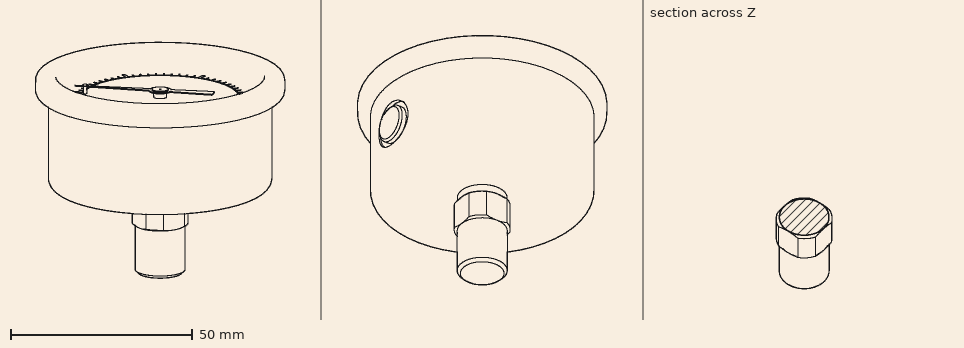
import cadquery as cq
import math

SOCKET_CHAMFER = 0.9
NUT_BOTTOM = 13.8
NUT_TOP = 22.45
CASE_BOTTOM = 24.7
BEZEL_BOTTOM = 50.8
TOTAL_HEIGHT = 56.65

CASE_DIAMETER = 61.8
CASE_ROUND = 2.55
BEZEL_DIAMETER = 68.9
BEZEL_ROUND = 1.65
WINDOW_DIAMETER = 57.7
WINDOW_EDGE_ROUND = 0.4
DIAL_DEPTH = 6.35
DIAL_ROUND = 1.45

SOCKET_DIAMETER = 13.85
NECK_DIAMETER = 13.7
FLAT_WIDTH = 6.9
NUT_CHAMFER_ANGLE = 30.0

PLUG_DIAMETER = 10.7
PLUG_CHAMFER = 0.6
PLUG_REACH = 31.6
PLUG_HEIGHT = 37.5
PLUG_SEAT_DIAMETER = 13.7
PLUG_SEAT_FLOOR = 29.6

MARK_THICKNESS = 0.1
SCALE_INNER_RADIUS = 21.65
SCALE_OUTER_RADIUS = 22.0
MINOR_TICK_END_RADIUS = 23.35
MAJOR_TICK_END_RADIUS = 24.5
MINOR_TICK_WIDTH = 0.3
MAJOR_TICK_WIDTH = 0.9
SCALE_START_ANGLE = 225.0
SCALE_SWEEP = 270.0
MAJOR_DIVISIONS = 5
MINOR_PER_MAJOR = 10

POINTER_ANGLE = SCALE_START_ANGLE
POINTER_LENGTH = 24.05
POINTER_TAIL = 15.0
NEEDLE_ROOT_WIDTH = 1.9
TAIL_ROOT_WIDTH = 1.8
TAIL_END_WIDTH = 2.9
TAIL_CORNER_ROUND = 0.35
POINTER_THICKNESS = 0.3
POINTER_LIFT = 1.7
HUB_DIAMETER = 6.1
CAP_DIAMETER = 4.5
CAP_THICKNESS = 0.3
BOSS_DIAMETER = 3.6
CENTRE_MARK_DIAMETER = 0.4
CENTRE_MARK_DEPTH = 0.1
PIN_DIAMETER = 1.0
PIN_HEAD_DIAMETER = 1.8
PIN_HEAD_RISE = 0.4
PIN_SHANK_HEIGHT = 2.2
PIN_RADIUS_FROM_CENTRE = 21.0
PIN_ANGLE = 226.6

dial_height = TOTAL_HEIGHT - DIAL_DEPTH


def cylinder(diameter, bottom, top):
    return cq.Workplane("XY").workplane(offset=bottom).circle(diameter / 2).extrude(top - bottom)


def make_case():
    """Body with a rounded lower edge, under a bezel rounded on both outer edges."""
    body = cylinder(CASE_DIAMETER, CASE_BOTTOM, BEZEL_BOTTOM).faces("<Z").edges().fillet(CASE_ROUND)
    bezel = cylinder(BEZEL_DIAMETER, BEZEL_BOTTOM, TOTAL_HEIGHT).edges().fillet(BEZEL_ROUND)
    return body.union(bezel)


def cut_dial_recess(case):
    """Round opening down to the dial, with a rounded floor edge and an eased rim."""
    recess = cylinder(WINDOW_DIAMETER, dial_height, TOTAL_HEIGHT).faces("<Z").edges().fillet(DIAL_ROUND)
    opened = case.cut(recess)
    return opened.faces(">Z").edges(cq.selectors.RadiusNthSelector(0)).fillet(WINDOW_EDGE_ROUND)


def make_socket():
    """Threaded end, wrench square with turned corners and plain neck."""
    shank = cylinder(SOCKET_DIAMETER, 0, NUT_BOTTOM).faces("<Z").chamfer(SOCKET_CHAMFER)
    neck = cylinder(NECK_DIAMETER, NUT_TOP, CASE_BOTTOM)

    socket_radius = SOCKET_DIAMETER / 2
    corner_radius = math.hypot(socket_radius, FLAT_WIDTH / 2)
    chamfer_width = corner_radius - socket_radius
    chamfer_height = chamfer_width * math.tan(math.radians(NUT_CHAMFER_ANGLE))
    square = (
        cq.Workplane("XY").workplane(offset=NUT_BOTTOM)
        .rect(SOCKET_DIAMETER, SOCKET_DIAMETER).extrude(NUT_TOP - NUT_BOTTOM)
    )
    turned = (
        cylinder(2 * corner_radius, NUT_BOTTOM, NUT_TOP)
        .faces("<Z or >Z").chamfer(chamfer_height, chamfer_width)
    )
    return shank.union(square.intersect(turned)).union(neck)


def back_cylinder(diameter, start, end):
    """Cylinder along +Y on the plug axis."""
    return (
        cq.Workplane("XZ", origin=(0, end, PLUG_HEIGHT))
        .circle(diameter / 2).extrude(end - start)
    )


def make_plug():
    """Chamfered round plug standing out of its seat toward +Y."""
    return back_cylinder(PLUG_DIAMETER, PLUG_SEAT_FLOOR, PLUG_REACH).faces(">Y").chamfer(PLUG_CHAMFER)


def make_plug_seat():
    """Round flat-bottomed seat sunk into the back of the case."""
    return back_cylinder(PLUG_SEAT_DIAMETER, PLUG_SEAT_FLOOR, PLUG_REACH)


def make_tick(angle, width, end_radius):
    """Flat radial mark that starts at the inner edge of the scale arc."""
    length = end_radius - SCALE_INNER_RADIUS
    return (
        cq.Workplane("XY").workplane(offset=dial_height)
        .center(SCALE_INNER_RADIUS + length / 2, 0)
        .rect(length, width).extrude(MARK_THICKNESS)
        .rotate((0, 0, 0), (0, 0, 1), angle)
    )


def make_scale():
    """Raised scale arc with its major and minor ticks."""
    ring = (
        cq.Workplane("XY").workplane(offset=dial_height)
        .circle(SCALE_OUTER_RADIUS).circle(SCALE_INNER_RADIUS).extrude(MARK_THICKNESS)
    )
    open_sector = (
        cq.Workplane("XY").workplane(offset=dial_height)
        .polyline([(0, 0), (-CASE_DIAMETER, -CASE_DIAMETER), (CASE_DIAMETER, -CASE_DIAMETER)])
        .close().extrude(MARK_THICKNESS)
    )
    scale = ring.cut(open_sector)
    tick_count = MAJOR_DIVISIONS * MINOR_PER_MAJOR
    for index in range(tick_count + 1):
        angle = SCALE_START_ANGLE - SCALE_SWEEP * index / tick_count
        if index % MINOR_PER_MAJOR == 0:
            tick = make_tick(angle, MAJOR_TICK_WIDTH, MAJOR_TICK_END_RADIUS)
        else:
            tick = make_tick(angle, MINOR_TICK_WIDTH, MINOR_TICK_END_RADIUS)
        scale = scale.union(tick)
    return scale


def make_blade(outline):
    """Flat blade of the pointer, drawn along +X from the pointer axis."""
    return (
        cq.Workplane("XY").workplane(offset=dial_height + POINTER_LIFT)
        .polyline(outline).close().extrude(POINTER_THICKNESS)
    )


def make_pointer():
    """Needle and wider tail on a hub disc, carried by a boss and topped by a cap."""
    plate_bottom = dial_height + POINTER_LIFT
    plate_top = plate_bottom + POINTER_THICKNESS
    cap_top = plate_top + CAP_THICKNESS
    needle = make_blade([
        (0, -NEEDLE_ROOT_WIDTH / 2),
        (POINTER_LENGTH, 0),
        (0, NEEDLE_ROOT_WIDTH / 2),
    ])
    tail = make_blade([
        (0, -TAIL_ROOT_WIDTH / 2),
        (POINTER_TAIL, -TAIL_END_WIDTH / 2),
        (POINTER_TAIL, TAIL_END_WIDTH / 2),
        (0, TAIL_ROOT_WIDTH / 2),
    ])
    tail = tail.edges("|Z and >X").fillet(TAIL_CORNER_ROUND)
    blades = needle.union(tail.rotate((0, 0, 0), (0, 0, 1), 180))
    centre_mark = cylinder(CENTRE_MARK_DIAMETER, cap_top - CENTRE_MARK_DEPTH, cap_top)
    return (
        blades.rotate((0, 0, 0), (0, 0, 1), POINTER_ANGLE)
        .union(cylinder(HUB_DIAMETER, plate_bottom, plate_top))
        .union(cylinder(CAP_DIAMETER, plate_top, cap_top))
        .union(cylinder(BOSS_DIAMETER, dial_height, plate_bottom))
        .cut(centre_mark)
    )


def make_stop_pin():
    """Pin with a domed head, standing beside the needle."""
    angle = math.radians(PIN_ANGLE)
    head_radius = PIN_HEAD_DIAMETER / 2
    dome_radius = (head_radius**2 + PIN_HEAD_RISE**2) / (2 * PIN_HEAD_RISE)
    shank_top = dial_height + PIN_SHANK_HEIGHT
    dome_centre = shank_top + PIN_HEAD_RISE - dome_radius
    ball = cq.Workplane("XY").sphere(dome_radius).translate((0, 0, dome_centre))
    head = cylinder(PIN_HEAD_DIAMETER, shank_top, shank_top + PIN_HEAD_RISE).intersect(ball)
    pin = cylinder(PIN_DIAMETER, dial_height, shank_top).union(head)
    return pin.translate((
        PIN_RADIUS_FROM_CENTRE * math.cos(angle),
        PIN_RADIUS_FROM_CENTRE * math.sin(angle),
        0,
    ))


result = (
    cut_dial_recess(make_case())
    .union(make_socket())
    .cut(make_plug_seat())
    .union(make_plug())
    .union(make_scale())
    .union(make_pointer())
    .union(make_stop_pin())
)